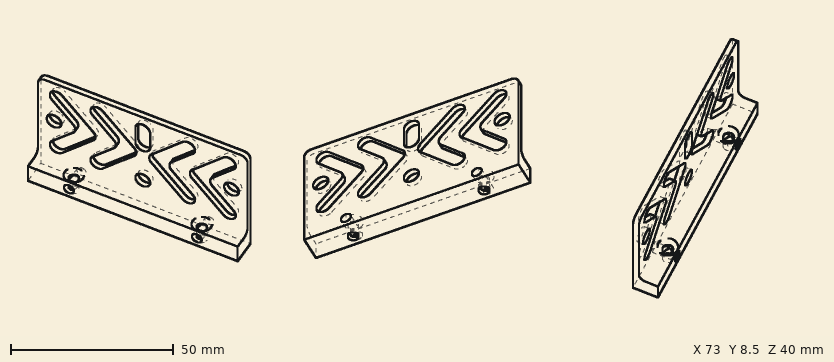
import cadquery as cq
import math

length = 73.0
depth = 8.5
height = 40.0
plate_thickness = 2.0
base_height = 6.5
corner_radius = 2.5
plate_front = depth - plate_thickness

screw_x_positions = (-22.3, 22.3)
screw_radius = 3.35 / 2
screw_y = plate_front / 2
countersink_radius = 6.3 / 2
countersink_depth = countersink_radius - screw_radius
cross_hole_z = base_height / 2

pattern_z = 23.2
round_hole_diameter = 5.1
side_hole_x = 30.9
bottom_hole_z = 12.1
slot_top_z = 36.7
slot_bottom_z = 25.2

chevron_radius = 2.5
chevron_rise = 10.95
chevron_tip_distances = (18.9, 4.75)

pick_margin = 0.1


def make_bracket():
    """L-shaped profile with rounded upper plate corners."""
    profile = [
        (0, 0),
        (depth, 0),
        (depth, height),
        (plate_front, height),
        (plate_front, base_height),
        (0, base_height),
    ]
    bracket = cq.Workplane("YZ").polyline(profile).close().extrude(length / 2, both=True)
    return bracket.edges("|Y and >Z").fillet(corner_radius)


def drill_base(bracket):
    """Cut the screw holes, their countersinks and the cross holes."""
    screw_hole = cq.Workplane("XY").circle(screw_radius).extrude(base_height)
    screw_hole = screw_hole.translate((0, screw_y, 0))
    cone_base = cq.Vector(0, screw_y, base_height - countersink_depth)
    countersink = cq.Workplane(
        cq.Solid.makeCone(screw_radius, countersink_radius, countersink_depth, cone_base)
    )
    cross_hole = cq.Workplane("XZ").center(0, cross_hole_z).circle(screw_radius).extrude(-depth)
    for x in screw_x_positions:
        for cutter in (screw_hole, countersink, cross_hole):
            bracket = bracket.cut(cutter.translate((x, 0, 0)))
    return bracket


def round_inner_corner(bracket):
    """Fillet between base and plate; it narrows where it meets the countersinks."""
    inner_edge = cq.selectors.BoxSelector(
        (-length, plate_front - pick_margin, base_height - pick_margin),
        (length, plate_front + pick_margin, base_height + pick_margin),
    )
    return bracket.edges("|X").edges(inner_edge).fillet(corner_radius)


def make_chevron(tip_distance):
    """Chevron cutter on the -X side, its tip centre tip_distance from the middle."""
    arm_length = chevron_rise * math.sqrt(2)
    arm = (
        cq.Workplane("XZ")
        .center(-arm_length / 2, 0)
        .slot2D(arm_length + 2 * chevron_radius, 2 * chevron_radius)
        .extrude(-depth)
    )
    upper_arm = arm.rotate((0, 0, 0), (0, 1, 0), 45)
    lower_arm = arm.rotate((0, 0, 0), (0, 1, 0), -45)
    chevron = upper_arm.union(lower_arm)
    inner_x = -chevron_radius * math.sqrt(2)
    inner_corner = cq.selectors.BoxSelector(
        (inner_x - pick_margin, 0, -pick_margin),
        (inner_x + pick_margin, depth, pick_margin),
    )
    chevron = chevron.edges("|Y").edges(inner_corner).fillet(chevron_radius)
    return chevron.translate((-tip_distance, 0, pattern_z))


def cut_plate(bracket):
    """Cut the round holes, the slot and the mirrored chevrons through the plate."""
    hole_points = [(-side_hole_x, pattern_z), (side_hole_x, pattern_z), (0, bottom_hole_z)]
    round_holes = (
        cq.Workplane("XZ").pushPoints(hole_points).circle(round_hole_diameter / 2).extrude(-depth)
    )
    slot = (
        cq.Workplane("XZ")
        .center(0, (slot_top_z + slot_bottom_z) / 2)
        .slot2D(slot_top_z - slot_bottom_z, round_hole_diameter, 90)
        .extrude(-depth)
    )
    bracket = bracket.cut(round_holes).cut(slot)
    for tip_distance in chevron_tip_distances:
        chevron = make_chevron(tip_distance)
        bracket = bracket.cut(chevron).cut(chevron.mirror("YZ"))
    return bracket


bracket = make_bracket()
bracket = drill_base(bracket)
bracket = round_inner_corner(bracket)
bracket = cut_plate(bracket)
result = cq.Workplane(bracket.solids().val())